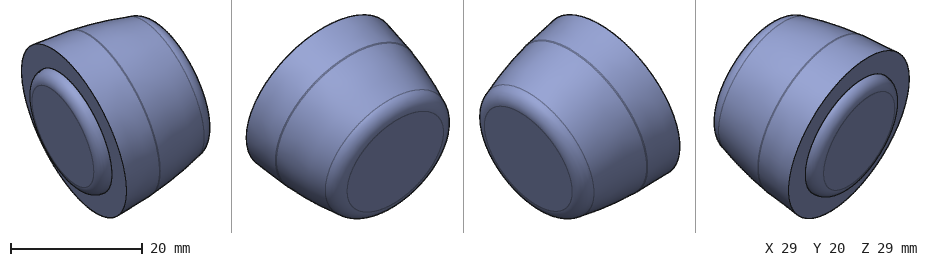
import cadquery as cq

rim_radius = 14.5
total_depth = 20.0
boss_radius = 10.5
boss_height = 2.0
boss_fillet = 1.97
skirt_depth = 6.35
seam_width = 0.17
seam_radius = 13.95
body_radius = 13.9
shoulder_radius = 11.9
shoulder_depth = 2.2
back_radius = 9.42
mid_radius = 13.1
round_mid_radius = 11.2
round_mid_inset = 0.75

rim_y = boss_height
seam_y = rim_y + skirt_depth
body_y = seam_y + seam_width
shoulder_y = total_depth - shoulder_depth
mid_y = (body_y + shoulder_y) / 2

profile = (
    cq.Workplane("XY")
    .moveTo(0, 0)
    .lineTo(boss_radius - boss_fillet, 0)
    .radiusArc((boss_radius, boss_fillet), -boss_fillet)
    .lineTo(boss_radius, rim_y)
    .lineTo(rim_radius, rim_y)
    .lineTo(seam_radius, seam_y)
    .lineTo(body_radius, body_y)
    .threePointArc((mid_radius, mid_y), (shoulder_radius, shoulder_y))
    .threePointArc((round_mid_radius, total_depth - round_mid_inset), (back_radius, total_depth))
    .lineTo(0, total_depth)
    .close()
)

result = profile.revolve(360, (0, 0, 0), (0, 1, 0))